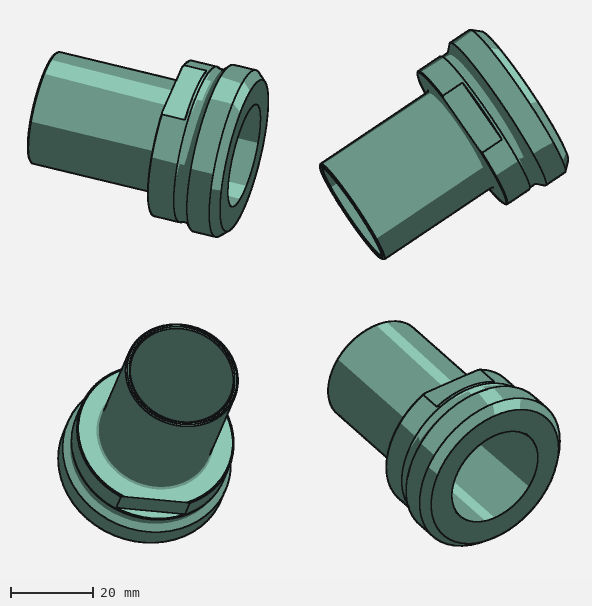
import cadquery as cq
import math

length = 51.0
head_radius = 41.8 / 2
bore_radius = 25.6 / 2

tube_radius = 28.0 / 2
tube_chamfer = 0.35
root_fillet = 0.8

collar_radius = 39.0 / 2
collar_start = 32.55
collar_end = 39.3
collar_chamfer_length = 0.2
collar_chamfer_depth = 0.35
flat_half_width = 17.55
flat_end = 38.55

groove_radius = 38.4 / 2
groove_step = collar_radius - groove_radius
collar_side_fillet = 0.5
head_side_fillet = 1.0
groove_end = 41.0

back_cone_angle = 45.0
head_chamfer_length = 2.15
head_chamfer_depth = 1.95


def arc_point(center, radius, degrees):
    """Point on a circle in the axial/radial profile plane."""
    angle = math.radians(degrees)
    return (center[0] + radius * math.cos(angle), center[1] + radius * math.sin(angle))


def make_turned_body():
    """Revolve the half profile (axial position, radius) about the X axis."""
    root_center = (collar_start - root_fillet, tube_radius + root_fillet)

    collar_arc_run = math.sqrt(collar_side_fillet**2 - (collar_side_fillet - groove_step) ** 2)
    groove_start_center = (collar_end + collar_arc_run, groove_radius + collar_side_fillet)
    collar_arc_sweep = math.degrees(math.asin(collar_arc_run / collar_side_fillet))

    groove_end_center = (groove_end, groove_radius + head_side_fillet)
    cone_foot = arc_point(groove_end_center, head_side_fillet, -90 + back_cone_angle)
    cone_rise = head_radius - cone_foot[1]
    head_start = cone_foot[0] + cone_rise / math.tan(math.radians(back_cone_angle))

    profile = (
        cq.Workplane("XY")
        .moveTo(0, bore_radius + tube_chamfer)
        .lineTo(0, tube_radius - tube_chamfer)
        .lineTo(tube_chamfer, tube_radius)
        .lineTo(root_center[0], tube_radius)
        .threePointArc(
            arc_point(root_center, root_fillet, -45),
            (collar_start, root_center[1]),
        )
        .lineTo(collar_start, collar_radius - collar_chamfer_depth)
        .lineTo(collar_start + collar_chamfer_length, collar_radius)
        .lineTo(collar_end, collar_radius)
        .threePointArc(
            arc_point(groove_start_center, collar_side_fillet, -90 - collar_arc_sweep / 2),
            (groove_start_center[0], groove_radius),
        )
        .lineTo(groove_end, groove_radius)
        .threePointArc(
            arc_point(groove_end_center, head_side_fillet, -90 + back_cone_angle / 2),
            cone_foot,
        )
        .lineTo(head_start, head_radius)
        .lineTo(length - head_chamfer_length, head_radius)
        .lineTo(length, head_radius - head_chamfer_depth)
        .lineTo(length, bore_radius)
        .lineTo(tube_chamfer, bore_radius)
        .close()
    )
    return profile.revolve(360, (0, 0, 0), (1, 0, 0))


def make_flat_cutter(side):
    """Block that removes the collar material beyond one flat; side is +1 or -1 along Z."""
    cut_length = flat_end - collar_start
    cut_height = head_radius - flat_half_width
    return cq.Workplane("XY").box(cut_length, 2 * head_radius, cut_height).translate(
        (collar_start + cut_length / 2, 0, side * (flat_half_width + cut_height / 2))
    )


result = make_turned_body()
for side in (1, -1):
    result = result.cut(make_flat_cutter(side))